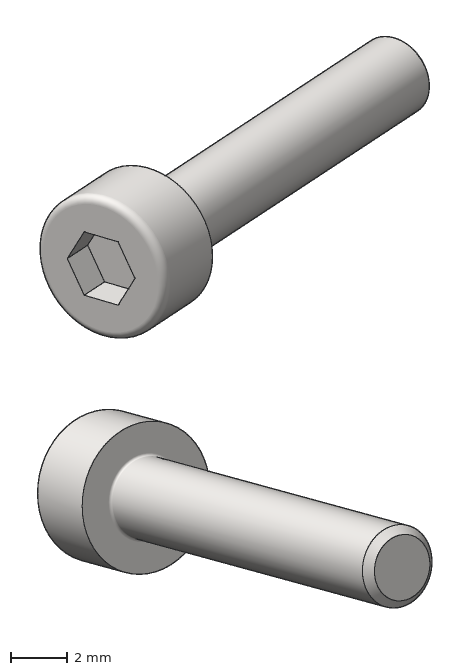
import cadquery as cq
import math

thread_diameter = 3.0
thread_pitch = 0.5
shank_length = 16.0
head_diameter = 5.5
head_height = thread_diameter
head_edge_radius = 0.3
under_head_radius = 0.1
thread_depth_ratio = 0.6134
tip_chamfer = thread_depth_ratio * thread_pitch
socket_across_flats = 2.5
socket_depth = 1.3


def cylinder_along_y(diameter, start_y, length):
    """Solid cylinder on the Y axis, running from start_y towards +Y."""
    profile = cq.Workplane("XZ", origin=(0, start_y, 0)).circle(diameter / 2)
    return profile.extrude(-length)


def make_head():
    """Head with its underside at Y = 0 and a rounded front rim."""
    head = cylinder_along_y(head_diameter, -head_height, head_height)
    return head.faces("<Y").edges().fillet(head_edge_radius)


def make_shank():
    """Plain shank from the head's underside to the chamfered tip."""
    shank = cylinder_along_y(thread_diameter, 0, shank_length)
    return shank.faces(">Y").edges().chamfer(tip_chamfer)


def round_under_head(screw):
    """Small fillet where the shank meets the underside of the head."""
    reach = thread_diameter / 2 + under_head_radius
    neck = cq.selectors.BoxSelector(
        (-reach, -under_head_radius, -reach),
        (reach, under_head_radius, reach),
        boundingbox=True,
    )
    return screw.edges(neck).fillet(under_head_radius)


def make_socket():
    """Hexagonal socket with two corners on the X axis."""
    across_corners = socket_across_flats / math.cos(math.pi / 6)
    profile = cq.Workplane("XZ", origin=(0, -head_height, 0)).polygon(6, across_corners)
    return profile.extrude(-socket_depth)


body = round_under_head(make_head().union(make_shank()))
result = body.cut(make_socket())